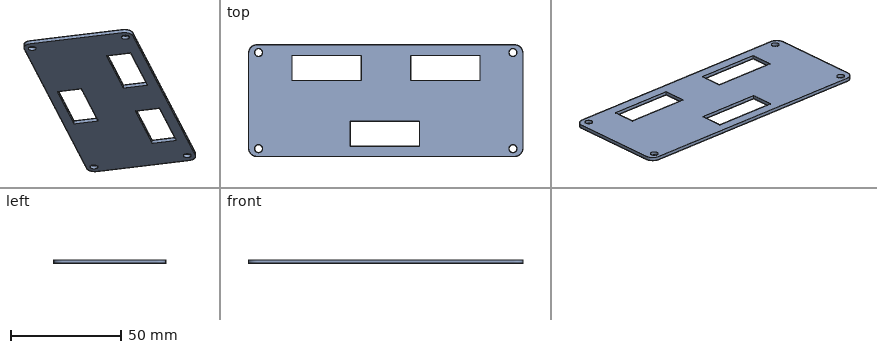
import cadquery as cq

length = 124.8
width = 50.9
thickness = 1.6
corner_radius = 4.0

hole_diameter = 3.5
hole_spacing_x = 115.6
hole_spacing_y = 43.7

window_length = 31.3
window_width = 11.2
upper_window_y = 14.9
window_centers = [
    (-26.8, upper_window_y),
    (27.1, upper_window_y),
    (-0.4, -15.1),
]

plate = (
    cq.Workplane("XY")
    .rect(length, width)
    .extrude(thickness)
    .edges("|Z")
    .fillet(corner_radius)
)

mounting_holes = (
    cq.Workplane("XY")
    .rect(hole_spacing_x, hole_spacing_y, forConstruction=True)
    .vertices()
    .circle(hole_diameter / 2)
    .extrude(thickness)
)

windows = (
    cq.Workplane("XY")
    .pushPoints(window_centers)
    .rect(window_length, window_width)
    .extrude(thickness)
)

result = plate.cut(mounting_holes).cut(windows)